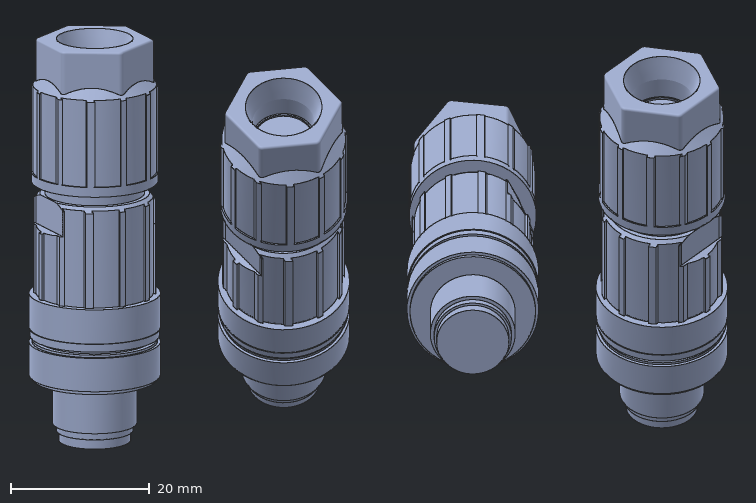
import cadquery as cq
import math

total_height = 60.0

plug_radius = 6.1
plug_step_radius = 5.6
plug_tip_radius = 5.2
plug_tip_top = 1.5
plug_step_top = 2.6

ring_diameter = 19.0
ring_radius = ring_diameter / 2
ring_shoulder_radius = 9.05
ring_bottom = 9.25
ring_grip_bottom = 9.8
ring_grip_top = 14.75
ring_top = 15.1

core_radius = 8.3
collar_radius = ring_radius
collar_lip_radius = 9.35
collar_bottom = 15.65
collar_step = 16.85
collar_top = 22.0

cut_clearance = 0.6
rib_width = 0.9
middle_rib_near = 4.2
middle_rib_far = 5.15

housing_radius = 8.8
housing_recess_radius = 8.45
housing_top = 36.95
housing_chamfer_width = 0.9
housing_chamfer_height = 0.8
housing_outer_rib_near = 7.4
housing_outer_rib_far = 7.8
flat_distance = 7.5
flat_bottom = 32.4
flat_ledge_slope = 20.0

cage_radius = 7.2
cage_top = 50.4

seal_radius = 5.4
seal_top = 53.1

nut_radius = 9.2
nut_recess_radius = 8.95
nut_bottom = 38.75
nut_recess_bottom = 40.2
nut_cone_bottom = 52.9
nut_outer_rib_near = 7.75
nut_outer_rib_far = 8.15
hex_sides = 6
hex_apothem = 7.5
hex_corner_fillet = 0.85
hex_top_fillet = 0.4
bore_mouth_radius = 5.5
bore_radius = 4.5
mouth_depth = 3.5
bore_lip_radius = 4.25
bore_lip_height = 0.3


def cylinder(radius, bottom, top):
    return cq.Workplane("XY").workplane(offset=bottom).circle(radius).extrude(top - bottom)


def rib_recesses(outer_radius, recess_radius, bottom, top, outer_rib_near, outer_rib_far):
    """Thin sleeve to remove, with twelve ribs left out of it."""
    height = top - bottom
    reach = outer_radius + cut_clearance
    sleeve = cylinder(reach, bottom, top).cut(cylinder(recess_radius, bottom, top))
    plane = cq.Workplane("XY").workplane(offset=bottom)
    ribs = plane.rect(2 * reach, rib_width).extrude(height)
    for side in (-1, 1):
        for near, far in ((middle_rib_near, middle_rib_far), (outer_rib_near, outer_rib_far)):
            slab = plane.center(0, side * (near + far) / 2).rect(2 * reach, far - near)
            ribs = ribs.union(slab.extrude(height))
        end_rib = plane.center(0, side * outer_radius).rect(rib_width, 2 * (outer_radius - outer_rib_far))
        ribs = ribs.union(end_rib.extrude(height))
    return sleeve.cut(ribs)


def make_plug():
    plug = cylinder(plug_radius, plug_step_top, ring_top)
    plug = plug.union(cylinder(plug_step_radius, plug_tip_top, plug_step_top))
    return plug.union(cylinder(plug_tip_radius, 0, plug_tip_top))


def make_coupling_ring():
    ring = cylinder(ring_shoulder_radius, ring_bottom, ring_top)
    ring = ring.union(cylinder(ring_radius, ring_grip_bottom, ring_grip_top))
    return ring.cut(cylinder(plug_radius, ring_bottom, ring_top))


def make_core():
    return cylinder(core_radius, ring_top, collar_top)


def make_collar():
    collar = cylinder(collar_lip_radius, collar_bottom, collar_step)
    collar = collar.union(cylinder(collar_radius, collar_step, collar_top))
    return collar.cut(cylinder(core_radius, collar_bottom, collar_top))


def housing_chamfer():
    """Ring of triangular section that bevels the housing's upper rim."""
    return (
        cq.Workplane("XZ")
        .moveTo(housing_radius, housing_top)
        .lineTo(housing_radius, housing_top - housing_chamfer_height)
        .lineTo(housing_radius - housing_chamfer_width, housing_top)
        .close()
        .revolve(360, (0, 0, 0), (0, 1, 0))
    )


def make_housing():
    housing = cylinder(housing_radius, collar_top, housing_top)
    housing = housing.cut(housing_chamfer())
    housing = housing.cut(rib_recesses(
        housing_radius, housing_recess_radius, collar_top, housing_top,
        housing_outer_rib_near, housing_outer_rib_far,
    ))
    ledge_drop = (housing_radius - flat_distance) * math.tan(math.radians(flat_ledge_slope))
    flat_cut = (
        cq.Workplane("YZ")
        .moveTo(flat_distance, housing_top)
        .lineTo(flat_distance, flat_bottom)
        .lineTo(housing_radius, flat_bottom - ledge_drop)
        .lineTo(housing_radius, housing_top)
        .close()
        .extrude(housing_radius, both=True)
    )
    return housing.cut(flat_cut).cut(flat_cut.mirror("XZ"))


def make_clamp_cage():
    return cylinder(cage_radius, housing_top, cage_top)


def make_seal():
    return cylinder(seal_radius, cage_top, seal_top)


def make_hex_head():
    corner_diameter = 2 * hex_apothem / math.cos(math.pi / hex_sides)
    head = (
        cq.Workplane("XY")
        .workplane(offset=nut_cone_bottom)
        .polygon(hex_sides, corner_diameter)
        .extrude(total_height - nut_cone_bottom)
    )
    return head.edges("|Z").fillet(hex_corner_fillet).faces(">Z").edges().fillet(hex_top_fillet)


def make_cable_bore():
    """Conical mouth leading into a straight bore, with a thin lip just above the seal."""
    lip_top = seal_top + bore_lip_height
    return (
        cq.Workplane("XZ")
        .moveTo(0, total_height)
        .lineTo(bore_mouth_radius, total_height)
        .lineTo(bore_radius, total_height - mouth_depth)
        .lineTo(bore_radius, lip_top)
        .lineTo(bore_lip_radius, lip_top)
        .lineTo(bore_lip_radius, seal_top)
        .lineTo(0, seal_top)
        .close()
        .revolve(360, (0, 0, 0), (0, 1, 0))
    )


def make_nut():
    cone_rise = nut_radius - bore_mouth_radius
    cone_top = nut_cone_bottom + cone_rise
    nut = cylinder(nut_radius, nut_bottom, cone_top).faces(">Z").chamfer(cone_rise)
    nut = nut.cut(rib_recesses(
        nut_radius, nut_recess_radius, nut_recess_bottom, cone_top,
        nut_outer_rib_near, nut_outer_rib_far,
    ))
    nut = nut.union(make_hex_head())
    nut = nut.cut(make_cable_bore())
    nut = nut.cut(cylinder(seal_radius, cage_top, seal_top))
    return nut.cut(cylinder(cage_radius, nut_bottom, cage_top))


plug = make_plug()
coupling_ring = make_coupling_ring()
core = make_core()
collar = make_collar()
housing = make_housing()
clamp_cage = make_clamp_cage()
seal = make_seal()
nut = make_nut()

result = cq.Compound.makeCompound([
    plug.val(),
    coupling_ring.val(),
    core.val(),
    collar.val(),
    housing.val(),
    clamp_cage.val(),
    seal.val(),
    nut.val(),
])